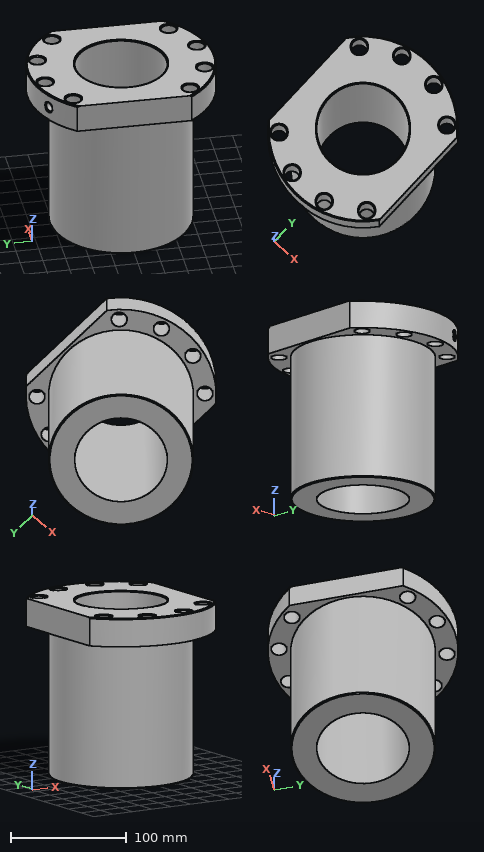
import cadquery as cq
import math

FLANGE_DIAMETER = 164.5
FLANGE_WIDTH = 130.0
FLANGE_THICKNESS = 25.0
BODY_DIAMETER = 125.0
BORE_DIAMETER = 80.0
TOTAL_HEIGHT = 154.0
EDGE_CHAMFER = 1.0

BOLT_CIRCLE_DIAMETER = 145.0
BOLT_HOLE_DIAMETER = 13.5
BOLT_ANGLE_STEP = 30.0
BOLTS_PER_GROUP = 4
GROUP_CENTRE_ANGLES = (90.0, 270.0)

OIL_PORT_DIAMETER = 8.0
OIL_PORT_ANGLE = GROUP_CENTRE_ANGLES[0] + BOLT_ANGLE_STEP


def make_body():
    """Barrel from the flange top down, chamfered at its lower end."""
    barrel = cq.Workplane("XY").circle(BODY_DIAMETER / 2).extrude(-TOTAL_HEIGHT)
    return barrel.faces("<Z").chamfer(EDGE_CHAMFER)


def make_flange():
    """Round flange with a chamfered top rim and two flats facing -X and +X."""
    disc = cq.Workplane("XY").circle(FLANGE_DIAMETER / 2).extrude(-FLANGE_THICKNESS)
    disc = disc.faces(">Z").chamfer(EDGE_CHAMFER)
    flats = cq.Workplane("XY").rect(FLANGE_WIDTH, FLANGE_DIAMETER).extrude(-FLANGE_THICKNESS)
    return disc.intersect(flats)


def make_chamfered_hole(diameter, depth):
    """Cutter for a hole going down from Z = 0 with a chamfered top edge."""
    radius = diameter / 2
    return (
        cq.Workplane("XZ")
        .lineTo(radius + EDGE_CHAMFER, 0)
        .lineTo(radius, -EDGE_CHAMFER)
        .lineTo(radius, -depth)
        .lineTo(0, -depth)
        .close()
        .revolve(360, (0, 0, 0), (0, 1, 0))
    )


def bolt_centres():
    """Centres of all mounting holes on the bolt circle."""
    radius = BOLT_CIRCLE_DIAMETER / 2
    centres = []
    for group_angle in GROUP_CENTRE_ANGLES:
        for index in range(BOLTS_PER_GROUP):
            offset = (index - (BOLTS_PER_GROUP - 1) / 2) * BOLT_ANGLE_STEP
            angle = math.radians(group_angle + offset)
            centres.append((radius * math.cos(angle), radius * math.sin(angle)))
    return centres


def make_oil_port():
    """Cutter for the oil port, lying along X and then turned to its place on the rim."""
    rim_radius = FLANGE_DIAMETER / 2
    port_depth = rim_radius - BODY_DIAMETER / 2
    port = make_chamfered_hole(OIL_PORT_DIAMETER, port_depth)
    port = port.rotate((0, 0, 0), (0, 1, 0), 90)
    port = port.translate((rim_radius, 0, -FLANGE_THICKNESS / 2))
    return port.rotate((0, 0, 0), (0, 0, 1), OIL_PORT_ANGLE)


nut = make_body().union(make_flange())
nut = nut.cut(make_chamfered_hole(BORE_DIAMETER, TOTAL_HEIGHT))

bolt_hole = make_chamfered_hole(BOLT_HOLE_DIAMETER, FLANGE_THICKNESS)
for x, y in bolt_centres():
    nut = nut.cut(bolt_hole.translate((x, y, 0)))

result = nut.cut(make_oil_port())